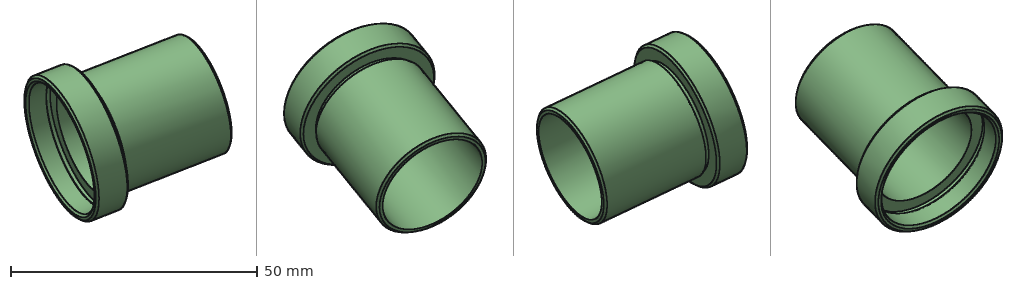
import cadquery as cq

length = 32.9
flange_radius = 15.9
flange_length = 7.47
body_radius = 13.0
neck_radius = 12.5
neck_length = 1.0
bore_radius = 11.75
recess_radius = 14.25
recess_depth = 5.5
undercut_radius = 14.5
undercut_width = 1.0
recess_mouth_radius = 14.75
chamfer = 0.5

front_face = -length / 2
back_face = length / 2
flange_back = front_face + flange_length
body_front = flange_back + neck_length
recess_floor = front_face + recess_depth
undercut_front = recess_floor - undercut_width
mouth_depth = recess_mouth_radius - recess_radius

profile = [
    (recess_mouth_radius, front_face),
    (flange_radius - chamfer, front_face),
    (flange_radius, front_face + chamfer),
    (flange_radius, flange_back - chamfer),
    (flange_radius - chamfer, flange_back),
    (neck_radius, flange_back),
    (neck_radius, body_front),
    (body_radius, body_front),
    (body_radius, back_face - chamfer),
    (body_radius - chamfer, back_face),
    (bore_radius, back_face),
    (bore_radius, recess_floor),
    (undercut_radius, recess_floor),
    (undercut_radius, undercut_front),
    (recess_radius, undercut_front),
    (recess_radius, front_face + mouth_depth),
]

result = cq.Workplane("XY").polyline(profile).close().revolve(360, (0, 0, 0), (0, 1, 0))